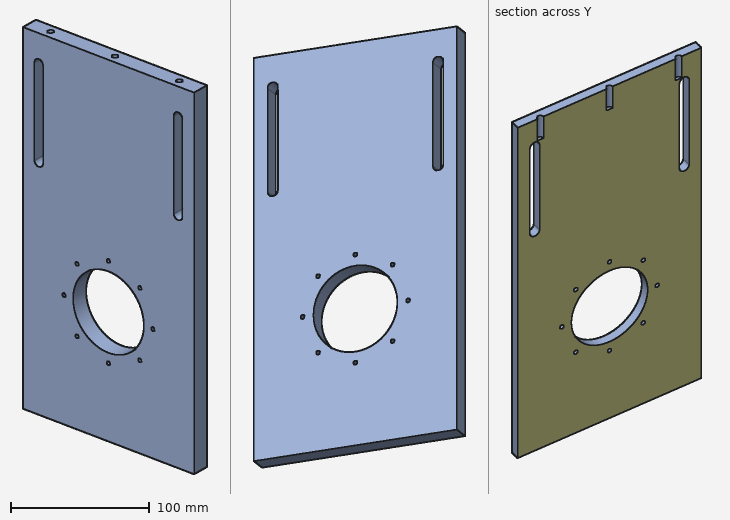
import cadquery as cq

width = 160.0
thickness = 15.0
height = 310.0

bore_diameter = 66.0
bore_height = 105.0
ring_hole_diameter = 3.0
ring_radius = 41.5
ring_hole_count = 8

slot_width = 8.0
slot_length = 87.5
slot_offset = 65.0
slot_top_gap = 21.0
slot_center_height = height - slot_top_gap - slot_length / 2

edge_hole_diameter = 5.0
edge_hole_spacing = 60.0
edge_hole_depth = 20.0


def back_face_plane(center_height):
    """Plane on the back face, facing the front, centred at a height."""
    return cq.Workplane("XZ", origin=(0, thickness / 2, center_height))


plate = cq.Workplane("XY").box(width, thickness, height, centered=(True, True, False))

bore = back_face_plane(bore_height).circle(bore_diameter / 2).extrude(thickness)

ring_holes = (
    back_face_plane(bore_height)
    .polarArray(ring_radius, 0, 360, ring_hole_count)
    .circle(ring_hole_diameter / 2)
    .extrude(thickness)
)

slots = (
    back_face_plane(slot_center_height)
    .pushPoints([(-slot_offset, 0), (slot_offset, 0)])
    .slot2D(slot_length, slot_width, 90)
    .extrude(thickness)
)

edge_holes = (
    cq.Workplane("XY", origin=(0, 0, height))
    .pushPoints([(-edge_hole_spacing, 0), (0, 0), (edge_hole_spacing, 0)])
    .circle(edge_hole_diameter / 2)
    .extrude(-edge_hole_depth)
)

result = plate.cut(bore).cut(ring_holes).cut(slots).cut(edge_holes)